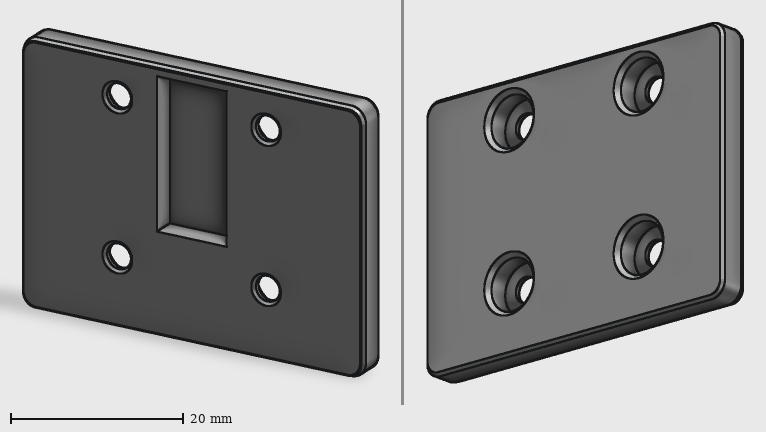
import cadquery as cq

WIDTH = 46.0
THICKNESS = 4.0
HEIGHT = 33.8
CORNER_RADIUS = 2.0

BACK_CHAMFER = 0.4
FRONT_BEVEL_INSET = 0.3
FRONT_BEVEL_DEPTH = 0.75
FRONT_EDGE_BREAK = 0.1

HOLE_SPACING = 20.0
HOLE_PATTERN_Z = 1.9
HOLE_DIAMETER = 3.2
MOUTH_CHAMFER = 0.4
HEAD_DIAMETER = 6.5
HEAD_DEPTH = 3.0
HEAD_CHAMFER = 0.6

POCKET_WIDTH = 9.4
POCKET_HEIGHT = 19.4
POCKET_DEPTH = 3.0
POCKET_Z = 5.9

FRONT_Y = -THICKNESS / 2
BACK_Y = THICKNESS / 2


def make_plate():
    """Round-cornered plate with a chamfered back and a two-step bevel in front."""
    plate = cq.Workplane("XZ", origin=(0, BACK_Y, 0)).rect(WIDTH, HEIGHT).extrude(THICKNESS)
    plate = plate.edges("|Y").fillet(CORNER_RADIUS)
    plate = plate.faces(">Y").edges().chamfer(BACK_CHAMFER)
    plate = plate.faces("<Y").edges().chamfer(FRONT_BEVEL_DEPTH, FRONT_BEVEL_INSET)
    return plate.faces("<Y").edges().chamfer(FRONT_EDGE_BREAK)


def make_hole_cutter():
    """Screw hole along Y, stepped to a wide head recess at the back and chamfered at both ends."""
    hole_radius = HOLE_DIAMETER / 2
    mouth_radius = hole_radius + MOUTH_CHAMFER
    head_radius = HEAD_DIAMETER / 2
    head_floor_y = BACK_Y - HEAD_DEPTH
    profile = [
        (0, FRONT_Y),
        (mouth_radius, FRONT_Y),
        (hole_radius, FRONT_Y + MOUTH_CHAMFER),
        (hole_radius, head_floor_y),
        (head_radius, head_floor_y),
        (head_radius, BACK_Y - HEAD_CHAMFER),
        (head_radius + HEAD_CHAMFER, BACK_Y),
        (0, BACK_Y),
    ]
    return cq.Workplane("XY").polyline(profile).close().revolve(360, (0, 0, 0), (0, 1, 0))


def cut_holes(plate):
    cutter = make_hole_cutter()
    for x_side in (-1, 1):
        for z_side in (-1, 1):
            hole_x = x_side * HOLE_SPACING / 2
            hole_z = HOLE_PATTERN_Z + z_side * HOLE_SPACING / 2
            plate = plate.cut(cutter.translate((hole_x, 0, hole_z)))
    return plate


def cut_pocket(plate):
    pocket = cq.Workplane("XY").box(POCKET_WIDTH, POCKET_DEPTH, POCKET_HEIGHT)
    pocket_y = FRONT_Y + POCKET_DEPTH / 2
    return plate.cut(pocket.translate((0, pocket_y, POCKET_Z)))


result = cut_pocket(cut_holes(make_plate()))